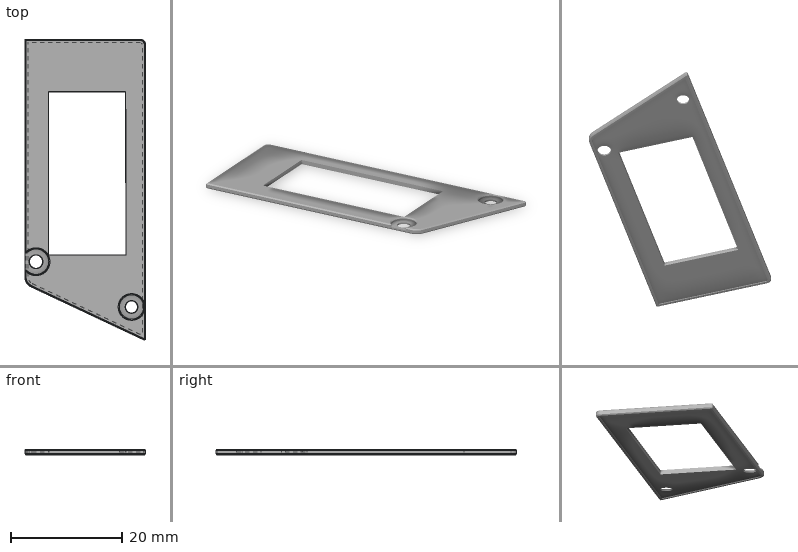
import cadquery as cq
import math

WIDTH = 21.73
LENGTH = 54.11
THICKNESS = 1.0
SLANT_ANGLE = 25.2
LEFT_CORNER_RADIUS = 2.0
TOP_CORNER_RADIUS = 1.0
SMALL_CORNER_RADIUS = 0.25
EDGE_CHAMFER = 0.2

RECESS_DEPTH = 0.2
LIP_WIDTH = 0.6

WINDOW_LEFT = 4.25
WINDOW_RIGHT_UPPER = 18.1
WINDOW_RIGHT_LOWER = 18.2
WINDOW_BOTTOM = 15.3
WINDOW_TOP = 44.65

COUNTERBORE_DEPTH = 0.5
RIM_CHAMFER = 0.2
NOTCH_CORNER_RADIUS = 0.2
LEFT_SCREW = {"x": 2.0, "y": 14.07, "hole": 2.4, "counterbore": 4.6}
RIGHT_SCREW = {"x": 19.2, "y": 5.92, "hole": 2.2, "counterbore": 4.4}


def vertical_edge(x, y):
    """Selector for the vertical edge of the plate nearest to (x, y)."""
    return cq.selectors.NearestToPointSelector((x, y, THICKNESS / 2))


def make_blank():
    """Plate with a slanted lower edge and rounded corners."""
    slant = math.radians(SLANT_ANGLE)
    tip_half_angle = (math.pi / 2 - slant) / 2
    sharp_tip_y = -SMALL_CORNER_RADIUS * (1 / math.tan(tip_half_angle) - 1)
    left_corner_y = sharp_tip_y + WIDTH * math.tan(slant)
    plate = (
        cq.Workplane("XY")
        .moveTo(0, left_corner_y)
        .lineTo(WIDTH, sharp_tip_y)
        .lineTo(WIDTH, LENGTH)
        .lineTo(0, LENGTH)
        .close()
        .extrude(THICKNESS)
    )
    corners = (
        (0, left_corner_y, LEFT_CORNER_RADIUS),
        (WIDTH, sharp_tip_y, SMALL_CORNER_RADIUS),
        (WIDTH, LENGTH, TOP_CORNER_RADIUS),
        (0, LENGTH, SMALL_CORNER_RADIUS),
    )
    for x, y, radius in corners:
        plate = plate.edges(vertical_edge(x, y)).fillet(radius)
    return plate


def make_plate():
    """Blank with chamfered outer edges and a shallow recess in the underside."""
    blank = make_blank()
    recess = blank.faces("<Z").wires().toPending().offset2D(-LIP_WIDTH).extrude(RECESS_DEPTH, combine=False)
    plate = blank.faces("<Z or >Z").edges().chamfer(EDGE_CHAMFER)
    return plate.cut(recess)


def make_window():
    """Through window whose right side leans out slightly towards the bottom."""
    return (
        cq.Workplane("XY")
        .moveTo(WINDOW_LEFT, WINDOW_BOTTOM)
        .lineTo(WINDOW_RIGHT_LOWER, WINDOW_BOTTOM)
        .lineTo(WINDOW_RIGHT_UPPER, WINDOW_TOP)
        .lineTo(WINDOW_LEFT, WINDOW_TOP)
        .close()
        .extrude(THICKNESS)
    )


def make_screw_cutter(screw):
    """Revolved cutter: through hole, counterbore and chamfered rim."""
    hole_radius = screw["hole"] / 2
    bore_radius = screw["counterbore"] / 2
    floor_z = THICKNESS - COUNTERBORE_DEPTH
    return (
        cq.Workplane("XZ")
        .lineTo(hole_radius, 0)
        .lineTo(hole_radius, floor_z)
        .lineTo(bore_radius, floor_z)
        .lineTo(bore_radius, THICKNESS - RIM_CHAMFER)
        .lineTo(bore_radius + RIM_CHAMFER, THICKNESS)
        .lineTo(0, THICKNESS)
        .close()
        .revolve()
        .translate((screw["x"], screw["y"], 0))
    )


def make_edge_notch(screw):
    """Counterbore cutter that opens through the left edge with rounded corners."""
    bore_diameter = screw["counterbore"]
    half_opening = math.sqrt((bore_diameter / 2) ** 2 - screw["x"] ** 2)
    floor_z = THICKNESS - COUNTERBORE_DEPTH
    bore = (
        cq.Workplane("XY", origin=(screw["x"], screw["y"], floor_z))
        .circle(bore_diameter / 2)
        .extrude(COUNTERBORE_DEPTH)
    )
    outside = (
        cq.Workplane("XY", origin=(-bore_diameter / 2, screw["y"], floor_z))
        .rect(bore_diameter, 2 * bore_diameter)
        .extrude(COUNTERBORE_DEPTH)
    )
    notch = outside.union(bore)
    for y in (screw["y"] - half_opening, screw["y"] + half_opening):
        corner = cq.selectors.NearestToPointSelector((0, y, THICKNESS - COUNTERBORE_DEPTH / 2))
        notch = notch.edges(corner).fillet(NOTCH_CORNER_RADIUS)
    return notch


result = make_plate().cut(make_window()).cut(make_edge_notch(LEFT_SCREW))
for screw in (LEFT_SCREW, RIGHT_SCREW):
    result = result.cut(make_screw_cutter(screw))